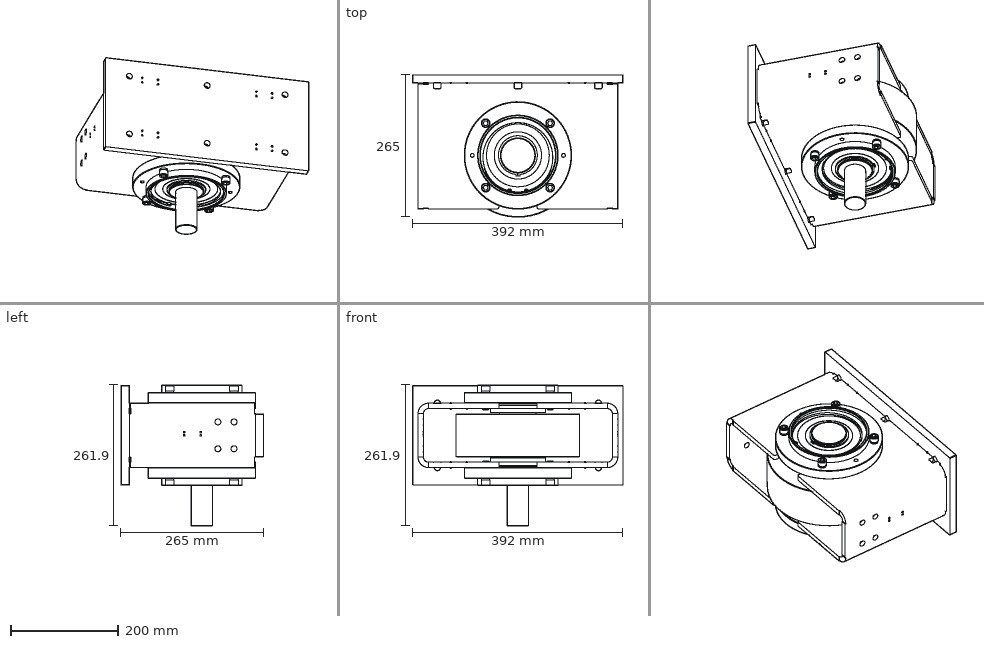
import cadquery as cq
import math

FRAME_WIDTH = 372.0
FRAME_HEIGHT = 120.0
WALL = 10.0
BEND_RADIUS = 20.0
FRAME_FRONT_Y = -100.0
FRAME_BACK_Y = 135.0
BEND_FRONT_RECESS = 1.5
BEND_BACK_RECESS = 2.5
BEND_RECESS_MARGIN = 0.5

PLATE_WIDTH = 392.0
PLATE_HEIGHT = 185.0
PLATE_THICKNESS = 15.0
PLATE_CORNER_CHAMFER = 1.0
PLATE_HOLE_DIAMETER = 11.0
PLATE_HOLE_PITCH = 150.0
NOTCH_WIDTH = 13.5
NOTCH_DEPTH = 10.5
NOTCH_CORNER_RADIUS = 2.0

TAB_INNER_X = 95.0
TAB_OUTER_X = 125.0
RELIEF_RADIUS = 1.5
RELIEF_INSET = 0.5

SLOT_WIDTH = 71.0
SLOT_CORNER_RADIUS = 4.0
SIDE_HOLE_DIAMETER = 11.0
SIDE_HOLE_YS = (-30.0, -60.0)
SIDE_HOLE_Z = 25.0
SEAM_RELIEF_DIAMETER = 3.0
SEAM_RELIEF_YS = (2.0, 33.0)
SEAM_RELIEF_ZS = (0.0, 6.0)

WHEEL_RADIUS = 115.0
WHEEL_WIDTH = 80.0
WHEEL_CHAMFER = 1.0
SHAFT_RADIUS = 32.5
SHAFT_TOP_Z = 90.0
SHAFT_CHAMFER = 1.0
SHAFT_COLLAR_RADIUS = 34.0
DRIVE_RADIUS = 20.0
OVERALL_HEIGHT = 261.9

FLANGE_RADIUS = 100.0
FLANGE_THICKNESS = 20.0
FLANGE_CHAMFER = 1.0
HUB_RADIUS = 75.0
HUB_TOP_Z = 93.5
HUB_CHAMFER = 1.0
SPIGOT_GROOVE_RADIUS = 72.5
SPIGOT_GROOVE_HEIGHT = 2.0
SPIGOT_CHAMFER = 2.0
INNER_LIP_RADIUS = 51.0
INNER_LIP_Z = 42.2
BORE_RADIUS = 70.0
BORE_CHAMFER = 1.0
JACK_HOLE_DIAMETER = 7.0

BEARING_TOP_Z = 84.0
SEAL_INNER_RADIUS = 44.0
SEAL_OUTER_RADIUS = 58.5
FACE_RELIEF_DEPTH = 0.5
BEARING_EDGE_RADIUS = 68.0
BORE_RING_THICKNESS = 4.0
BORE_RING_INNER_RADIUS = 65.0
BORE_RING_OFFSET = 4.0
BORE_RING_GAP = 24.0
BORE_RING_LUG_X = 15.5
BORE_RING_LUG_Y = -66.0
BORE_RING_LUG_RADIUS = 3.5
BORE_RING_LUG_HOLE = 2.5
SHAFT_RING_THICKNESS = 2.5
SHAFT_RING_RADIUS = 36.2
SHAFT_RING_OFFSET = 0.5
SHAFT_RING_GAP = 1.0
SHAFT_RING_LUG_WIDTH = 7.0
SHAFT_RING_LUG_REACH = 38.7

BOLT_PITCH = 60.0
BOLT_HEAD_RADIUS = 8.0
BOLT_HEAD_HEIGHT = 10.0
BOLT_HEAD_CHAMFER = 1.0
BOLT_SOCKET_WIDTH = 8.0
BOLT_SOCKET_DEPTH = 5.0
HEX_SIDES = 6
WASHER_RADIUS = 7.5
WASHER_THICKNESS = 3.0
BOLT_SHANK_RADIUS = 5.8
BOLT_TIP_Z = 47.4
BOLT_TIP_CHAMFER = 1.5

FRAME_TOP = FRAME_HEIGHT / 2
FRAME_INNER_TOP = FRAME_TOP - WALL
FRAME_DEPTH = FRAME_BACK_Y - FRAME_FRONT_Y
FRAME_MID_Y = (FRAME_BACK_Y + FRAME_FRONT_Y) / 2
FLANGE_TOP = FRAME_TOP + FLANGE_THICKNESS
WHEEL_TOP = WHEEL_WIDTH / 2
SHAFT_BOTTOM = HUB_TOP_Z - OVERALL_HEIGHT
BOLT_CIRCLE_RADIUS = BOLT_PITCH * math.sqrt(2)
SELECTION_MARGIN = 1.0


def disc(radius, z_low, z_high, x=0.0, y=0.0):
    """Solid cylinder along Z between two heights."""
    return cq.Workplane("XY", origin=(x, y, z_low)).circle(radius).extrude(z_high - z_low)


def annulus(inner_radius, outer_radius, z_low, z_high):
    """Flat ring around the Z axis."""
    return disc(outer_radius, z_low, z_high).cut(disc(inner_radius, z_low, z_high))


def block(x_size, y_size, z_size, centre):
    """Axis-aligned box about a centre point."""
    return cq.Workplane("XY").box(x_size, y_size, z_size).translate(centre)


def mirrored_in_z(body):
    return body.union(body.mirror("XY"))


def make_tube():
    outer = block(FRAME_WIDTH, FRAME_DEPTH, FRAME_HEIGHT, (0, FRAME_MID_Y, 0))
    inner = block(FRAME_WIDTH - 2 * WALL, FRAME_DEPTH, FRAME_HEIGHT - 2 * WALL, (0, FRAME_MID_Y, 0))
    outer = outer.edges("|Y").fillet(BEND_RADIUS)
    inner = inner.edges("|Y").fillet(BEND_RADIUS - WALL)
    return outer.cut(inner)


def cut_bend_ends(tube):
    """The four bends stop short at both ends, just past where they leave the flat walls."""
    size = BEND_RADIUS - BEND_RECESS_MARGIN
    bend_x = FRAME_WIDTH / 2 - size / 2
    bend_z = FRAME_TOP - size / 2
    ends = (
        (FRAME_FRONT_Y + BEND_FRONT_RECESS / 2, BEND_FRONT_RECESS),
        (FRAME_BACK_Y - BEND_BACK_RECESS / 2, BEND_BACK_RECESS),
    )
    for x in (-bend_x, bend_x):
        for z in (-bend_z, bend_z):
            for y, recess in ends:
                tube = tube.cut(block(size, recess, size, (x, y, z)))
    return tube


def cut_back_notches(tube):
    """Clearance notches in the flat walls in front of the plate holes."""
    for x in (-PLATE_HOLE_PITCH, 0, PLATE_HOLE_PITCH):
        notch = block(NOTCH_WIDTH, 2 * NOTCH_DEPTH, FRAME_HEIGHT, (x, FRAME_BACK_Y, 0))
        tube = tube.cut(notch.edges("|Z").fillet(NOTCH_CORNER_RADIUS))
    return tube


def cut_tab_reliefs(tube):
    for x in (TAB_INNER_X, TAB_OUTER_X):
        for side in (-1, 1):
            y = FRAME_BACK_Y + RELIEF_INSET
            tube = tube.cut(disc(RELIEF_RADIUS, -FRAME_TOP, FRAME_TOP, side * x, y))
    return tube


def cut_front_slots(tube):
    """Assembly slots running from the front edges to the housing seats, with rounded mouths."""
    slot = block(SLOT_WIDTH, -FRAME_FRONT_Y, FRAME_HEIGHT, (0, FRAME_FRONT_Y / 2, 0))
    tube = tube.cut(slot)
    return tube.edges(
        cq.selectors.BoxSelector(
            (-SLOT_WIDTH / 2 - SELECTION_MARGIN, FRAME_FRONT_Y - SELECTION_MARGIN, -FRAME_HEIGHT),
            (SLOT_WIDTH / 2 + SELECTION_MARGIN, FRAME_FRONT_Y + SELECTION_MARGIN, FRAME_HEIGHT),
        )
    ).edges("|Z").fillet(SLOT_CORNER_RADIUS)


def cut_side_holes(tube):
    def drill(diameter, points):
        return (
            cq.Workplane("YZ")
            .pushPoints(points)
            .circle(diameter / 2)
            .extrude(FRAME_WIDTH, both=True)
        )

    bolt_points = [(y, z) for y in SIDE_HOLE_YS for z in (-SIDE_HOLE_Z, SIDE_HOLE_Z)]
    seam_points = [(y, z) for y in SEAM_RELIEF_YS for z in SEAM_RELIEF_ZS]
    tube = tube.cut(drill(SIDE_HOLE_DIAMETER, bolt_points))
    return tube.cut(drill(SEAM_RELIEF_DIAMETER, seam_points))


def make_frame():
    frame = cut_side_holes(cut_front_slots(make_tube()))
    return cut_tab_reliefs(cut_back_notches(cut_bend_ends(frame)))


def make_plate():
    mid_y = FRAME_BACK_Y + PLATE_THICKNESS / 2
    plate = block(PLATE_WIDTH, PLATE_THICKNESS, PLATE_HEIGHT, (0, mid_y, 0))
    plate = plate.edges("|Y").chamfer(PLATE_CORNER_CHAMFER)

    def drill(radius, points):
        drawn = cq.Workplane("XZ", origin=(0, FRAME_BACK_Y, 0)).pushPoints(points)
        return drawn.circle(radius).extrude(-PLATE_THICKNESS)

    hole_points = [
        (x, z)
        for x in (-PLATE_HOLE_PITCH, 0, PLATE_HOLE_PITCH)
        for z in (-FRAME_TOP, FRAME_TOP)
    ]
    relief_points = [
        (side * x, end * z)
        for x in (TAB_INNER_X, TAB_OUTER_X)
        for z in (FRAME_INNER_TOP + RELIEF_INSET, FRAME_TOP - RELIEF_INSET)
        for side in (-1, 1)
        for end in (-1, 1)
    ]
    plate = plate.cut(drill(PLATE_HOLE_DIAMETER / 2, hole_points))
    return plate.cut(drill(RELIEF_RADIUS, relief_points))


def make_tabs():
    """Frame tabs filling their slots through the plate."""
    tab_x = (TAB_INNER_X + TAB_OUTER_X) / 2
    tab_z = FRAME_TOP - WALL / 2
    tab_y = FRAME_BACK_Y + PLATE_THICKNESS / 2
    tabs = cq.Workplane("XY")
    for x in (-tab_x, tab_x):
        for z in (-tab_z, tab_z):
            tabs = tabs.union(block(TAB_OUTER_X - TAB_INNER_X, PLATE_THICKNESS, WALL, (x, tab_y, z)))
    return tabs


def make_housing():
    """Flanged housing with the bearing seated in its bore, above the wheel."""
    groove_z = FRAME_TOP - SPIGOT_GROOVE_HEIGHT
    flange = disc(FLANGE_RADIUS, FRAME_TOP, FLANGE_TOP).edges().chamfer(FLANGE_CHAMFER)
    hub = disc(HUB_RADIUS, FLANGE_TOP, HUB_TOP_Z).faces(">Z").edges().chamfer(HUB_CHAMFER)
    housing = flange.union(hub)
    housing = housing.union(disc(SPIGOT_GROOVE_RADIUS, groove_z, FRAME_TOP + FLANGE_CHAMFER))
    spigot = disc(HUB_RADIUS, FRAME_INNER_TOP, groove_z).faces(">Z").edges().chamfer(SPIGOT_CHAMFER)
    housing = housing.union(spigot)
    housing = housing.union(disc(INNER_LIP_RADIUS, INNER_LIP_Z, FRAME_INNER_TOP))
    housing = housing.cut(disc(BORE_RADIUS, BEARING_TOP_Z, HUB_TOP_Z))
    housing = housing.faces(">Z").edges("%CIRCLE").edges(
        cq.selectors.RadiusNthSelector(0)
    ).chamfer(BORE_CHAMFER)
    relief_z = BEARING_TOP_Z - FACE_RELIEF_DEPTH
    for inner_radius, outer_radius in (
        (SEAL_INNER_RADIUS, SEAL_OUTER_RADIUS),
        (BEARING_EDGE_RADIUS, BORE_RADIUS),
    ):
        housing = housing.cut(annulus(inner_radius, outer_radius, relief_z, BEARING_TOP_Z))
    for x in (-BOLT_CIRCLE_RADIUS, BOLT_CIRCLE_RADIUS):
        housing = housing.cut(disc(JACK_HOLE_DIAMETER / 2, FRAME_TOP, FLANGE_TOP, x))
    return housing


def make_bore_ring():
    """Internal retaining ring, widest at the back, open between two lugs at the front."""
    z_low = BEARING_TOP_Z
    z_high = z_low + BORE_RING_THICKNESS
    ring = disc(BORE_RADIUS, z_low, z_high)
    ring = ring.cut(disc(BORE_RING_INNER_RADIUS, z_low, z_high, 0, -BORE_RING_OFFSET))
    gap_centre = (0, -BORE_RADIUS, (z_low + z_high) / 2)
    ring = ring.cut(block(BORE_RING_GAP, BORE_RADIUS, BORE_RING_THICKNESS, gap_centre))
    for x in (-BORE_RING_LUG_X, BORE_RING_LUG_X):
        lug = disc(BORE_RING_LUG_RADIUS, z_low, z_high, x, BORE_RING_LUG_Y)
        hole = disc(BORE_RING_LUG_HOLE / 2, z_low, z_high, x, BORE_RING_LUG_Y)
        ring = ring.union(lug).cut(hole)
    return ring


def make_shaft_ring():
    """External retaining ring around the shaft, with its lugs and gap at the front."""
    z_low = BEARING_TOP_Z
    z_high = z_low + SHAFT_RING_THICKNESS
    z_mid = (z_low + z_high) / 2
    lug_centre = (0, -SHAFT_RING_LUG_REACH / 2, z_mid)
    ring = disc(SHAFT_RING_RADIUS, z_low, z_high, 0, SHAFT_RING_OFFSET)
    ring = ring.union(block(SHAFT_RING_LUG_WIDTH, SHAFT_RING_LUG_REACH, SHAFT_RING_THICKNESS, lug_centre))
    return ring.cut(block(SHAFT_RING_GAP, SHAFT_RING_LUG_REACH, SHAFT_RING_THICKNESS, lug_centre))


def make_bolt(x, y):
    """Socket-head bolt with a washer, its tip showing inside the frame."""
    head_z = FLANGE_TOP + WASHER_THICKNESS
    top_z = head_z + BOLT_HEAD_HEIGHT
    head = disc(BOLT_HEAD_RADIUS, head_z, top_z, x, y).faces(">Z").edges().chamfer(BOLT_HEAD_CHAMFER)
    socket = (
        cq.Workplane("XY", origin=(x, y, top_z))
        .polygon(HEX_SIDES, BOLT_SOCKET_WIDTH / math.cos(math.pi / HEX_SIDES))
        .extrude(-BOLT_SOCKET_DEPTH)
    )
    shank = disc(BOLT_SHANK_RADIUS, BOLT_TIP_Z, FLANGE_TOP, x, y)
    shank = shank.faces("<Z").edges().chamfer(BOLT_TIP_CHAMFER)
    washer = disc(WASHER_RADIUS, FLANGE_TOP, head_z, x, y)
    return head.cut(socket).union(washer).union(shank)


def make_bearing_unit():
    unit = make_housing().union(make_bore_ring()).union(make_shaft_ring())
    for x in (-BOLT_PITCH, BOLT_PITCH):
        for y in (-BOLT_PITCH, BOLT_PITCH):
            unit = unit.union(make_bolt(x, y))
    return unit


def make_wheel_and_shaft():
    wheel = disc(WHEEL_RADIUS, -WHEEL_TOP, WHEEL_TOP).edges().chamfer(WHEEL_CHAMFER)
    collar = disc(SHAFT_COLLAR_RADIUS, -INNER_LIP_Z, INNER_LIP_Z)
    shaft = disc(SHAFT_RADIUS, -SHAFT_TOP_Z, SHAFT_TOP_Z).edges().chamfer(SHAFT_CHAMFER)
    drive = disc(DRIVE_RADIUS, SHAFT_BOTTOM, 0).faces("<Z").edges().chamfer(SHAFT_CHAMFER)
    return wheel.union(collar).union(shaft).union(drive)


result = (
    make_frame()
    .union(make_plate())
    .union(make_tabs())
    .union(mirrored_in_z(make_bearing_unit()))
    .union(make_wheel_and_shaft())
)